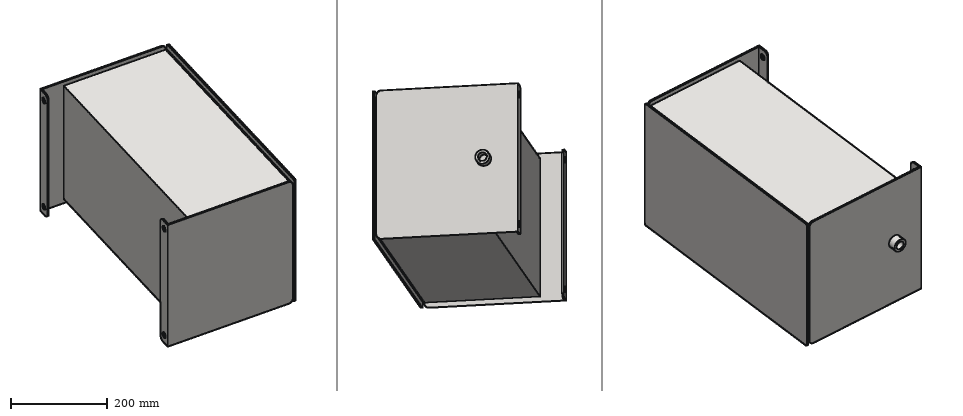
import cadquery as cq

total_length = 548.0
depth = 307.0
height = 320.0

sheet = 3.5
back_thickness = 4.0
panel_corner_radius = 10.5
flange_width = 30.5
back_corner_radius = 4.5
back_gap = 3.5

box_front_setback = 55.0
box_height_inset = 11.0
spacer_height_inset = 13.0

mount_hole_diameter = 13.0
mount_hole_side_offset = 15.5
mount_hole_end_offset = 20.5

stub_diameter = 30.0
stub_bore_diameter = 18.5
stub_length = 18.0
stub_front_offset = 72.0

width = total_length - stub_length
back_plate_front = depth - back_thickness
panel_back = back_plate_front - back_gap


def block(x_min, x_max, y_min, y_max, size_z):
    """Rectangular block centred on mid-height."""
    return (
        cq.Workplane("XY", origin=((x_min + x_max) / 2, (y_min + y_max) / 2, 0))
        .box(x_max - x_min, y_max - y_min, size_z)
    )


def left_panel():
    """Side panel with a front flange bent inwards and two mounting holes."""
    web = block(0, sheet, 0, panel_back, height)
    web = web.edges("|X and >Y").fillet(panel_corner_radius)
    flange = block(0, flange_width, 0, sheet, height)
    flange = flange.edges("|Y and >X").fillet(panel_corner_radius)
    hole_z = height / 2 - mount_hole_end_offset
    holes = (
        cq.Workplane("XZ")
        .pushPoints([(mount_hole_side_offset, -hole_z), (mount_hole_side_offset, hole_z)])
        .circle(mount_hole_diameter / 2)
        .extrude(-sheet)
    )
    return web.union(flange.cut(holes))


def back_plate():
    """Full-size rear plate with rounded corners."""
    plate = block(0, width, back_plate_front, depth, height)
    return plate.edges("|Y").fillet(back_corner_radius)


def box_body():
    """Box between the panels and the lower spacer that joins it to the back plate."""
    body = block(sheet, width - sheet, box_front_setback, panel_back, height - 2 * box_height_inset)
    spacer = block(sheet, width - sheet, panel_back, back_plate_front, height - 2 * spacer_height_inset)
    return body.union(spacer)


def stub():
    """Hollow round stub, open at its outer end."""
    return (
        cq.Workplane("YZ", origin=(0, stub_front_offset, 0))
        .circle(stub_diameter / 2)
        .circle(stub_bore_diameter / 2)
        .extrude(-stub_length)
    )


panel = left_panel()
right_panel = panel.mirror("YZ").translate((width, 0, 0))

result = back_plate().union(box_body()).union(panel).union(right_panel).union(stub())